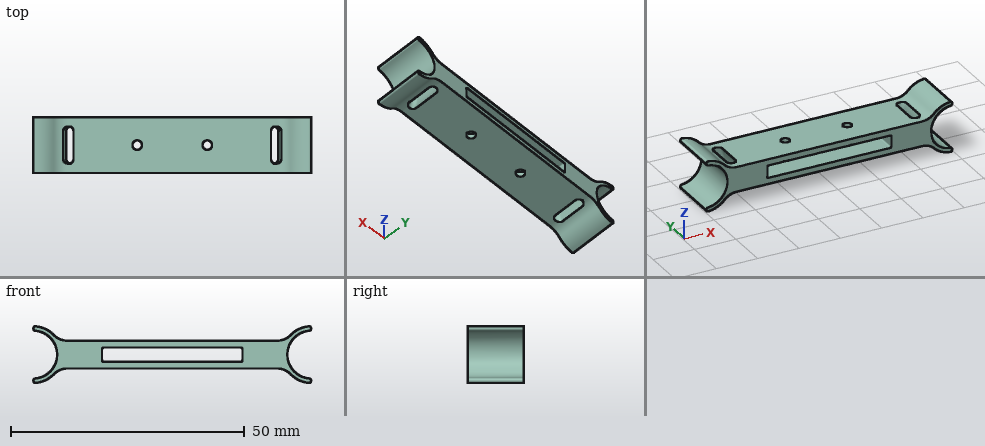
import cadquery as cq
import math

length = 59.5
width = 12.0
bar_height = 6.0

saddle_radius = 5.1
jaw_thickness = 1.0
jaw_outer_radius = saddle_radius + jaw_thickness
jaw_blend_radius = 4.0
tip_radius = jaw_thickness / 2

strap_wall = 1.0
strap_inner_radius = jaw_outer_radius + strap_wall
strap_thickness = 2.0
strap_width = 8.0

window_length = 30.0
window_height = 3.0
window_corner_radius = 0.3

hole_diameter = 2.0
hole_spacing = 15.0

half_length = length / 2
half_height = bar_height / 2


def make_end():
    """Half of the bar with the jaw pair and saddle at its -X end."""
    center_x = -half_length
    blend_z = half_height + jaw_blend_radius
    centre_distance = jaw_outer_radius + jaw_blend_radius
    blend_dx = math.sqrt(centre_distance**2 - blend_z**2)
    blend_x = center_x + blend_dx

    blend_angle = math.atan2(blend_dx, blend_z)
    tip_path_radius = saddle_radius + tip_radius
    tip_angle = math.asin(tip_radius / tip_path_radius)
    tip_z = tip_path_radius * math.cos(tip_angle)

    def on_saddle_circle(radius, angle):
        return (center_x + radius * math.sin(angle), radius * math.cos(angle))

    def on_blend_circle(angle):
        return (
            blend_x - jaw_blend_radius * math.sin(angle),
            blend_z - jaw_blend_radius * math.cos(angle),
        )

    def mirrored(point):
        return (point[0], -point[1])

    jaw_mid = on_saddle_circle(jaw_outer_radius, (tip_angle + blend_angle) / 2)
    jaw_end = on_saddle_circle(jaw_outer_radius, blend_angle)
    blend_mid = on_blend_circle(blend_angle / 2)
    blend_end = on_blend_circle(0)
    tip_outer = on_saddle_circle(jaw_outer_radius, tip_angle)
    tip_inner = on_saddle_circle(saddle_radius, tip_angle)
    tip_end = (center_x, tip_z)
    saddle_bottom = (center_x + saddle_radius, 0)

    return (
        cq.Workplane("XZ")
        .moveTo(0, half_height)
        .lineTo(*blend_end)
        .threePointArc(blend_mid, jaw_end)
        .threePointArc(jaw_mid, tip_outer)
        .threePointArc(tip_end, tip_inner)
        .threePointArc(saddle_bottom, mirrored(tip_inner))
        .threePointArc(mirrored(tip_end), mirrored(tip_outer))
        .threePointArc(mirrored(jaw_mid), mirrored(jaw_end))
        .threePointArc(mirrored(blend_mid), mirrored(blend_end))
        .lineTo(0, -half_height)
        .close()
        .extrude(width / 2, both=True)
    )


def make_strap_ring():
    """Ring with a full-round section about the -X saddle axis; cuts the strap slot."""
    middle_radius = strap_inner_radius + strap_thickness / 2
    return (
        cq.Workplane("XY")
        .center(-half_length, 0)
        .moveTo(-middle_radius, 0)
        .slot2D(strap_width, strap_thickness, 90)
        .revolve(360, (0, 0, 0), (0, 1, 0))
    )


def make_window():
    """Long rounded window that passes through the bar along Y."""
    return (
        cq.Workplane("XY")
        .box(window_length, width, window_height)
        .edges("|Y")
        .fillet(window_corner_radius)
    )


def make_screw_holes():
    """Two vertical holes through the walls above and below the window."""
    return (
        cq.Workplane("XY")
        .rarray(hole_spacing, 1, 2, 1)
        .circle(hole_diameter / 2)
        .extrude(half_height, both=True)
    )


slotted_end = make_end().cut(make_strap_ring())
bar = slotted_end.union(slotted_end.mirror("YZ")).clean()
result = bar.cut(make_window()).cut(make_screw_holes())